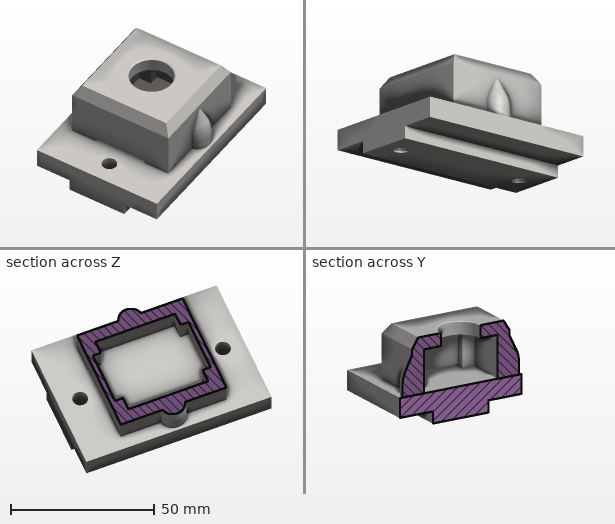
import cadquery as cq
import math

PLATE_WIDTH = 50.0
PLATE_LENGTH = 70
PLATE_THICKNESS = 7.5
RAIL_WIDTH = 22.8
RAIL_HEIGHT = 4.5
MOUNT_HOLE_DIAMETER = 5.5
MOUNT_HOLE_SPACING = 54.0

CAP_SIDE = 40.05
CAP_HEIGHT = 21
CAP_BEVEL_INSET = 2.5
CAP_BEVEL_HEIGHT = 4.0
ROOF_THICKNESS = 5.0
WINDOW_DIAMETER = 16.0
WINDOW_CHAMFER_INSET = 0.5
WINDOW_CHAMFER_DEPTH = 0.2

CAVITY_SIDE = 29.95
RECESS_DEPTH = 3.0
CAVITY_HEIGHT = CAP_HEIGHT - ROOF_THICKNESS
SLOT_WIDTH = 20.0
SLOT_HEIGHT = 1.0

BOSS_DIAMETER = 10.0
BOSS_RADIUS = BOSS_DIAMETER / 2
BOSS_SHOULDER_HEIGHT = 7
BOSS_CONE_HEIGHT = 10.0
BOSS_BLEND_RADIUS = 10.0
BOSS_SINK = 1.05
BOSS_OFFSET = CAP_SIDE / 2 - BOSS_SINK


def make_base():
    plate = cq.Workplane("XY").rect(PLATE_WIDTH, PLATE_LENGTH).extrude(-PLATE_THICKNESS)
    rail = (
        cq.Workplane("XY", origin=(0, 0, -PLATE_THICKNESS))
        .rect(RAIL_WIDTH, PLATE_LENGTH)
        .extrude(-RAIL_HEIGHT)
    )
    mount_holes = (
        cq.Workplane("XY")
        .rarray(0.7, MOUNT_HOLE_SPACING, 1, 2)
        .circle(MOUNT_HOLE_DIAMETER / 2)
        .extrude(-(PLATE_THICKNESS + RAIL_HEIGHT))
    )
    return plate.union(rail).cut(mount_holes)


def make_boss(x):
    """Cylinder with a conical nose; an arc tangent to both replaces the shoulder corner."""
    half_angle = math.atan2(BOSS_RADIUS, BOSS_CONE_HEIGHT)
    tangent_length = BOSS_BLEND_RADIUS * math.tan(half_angle / 2)
    arc_center_r = BOSS_RADIUS - BOSS_BLEND_RADIUS
    arc_start_z = BOSS_SHOULDER_HEIGHT - tangent_length

    def arc_point(angle):
        return (
            arc_center_r + BOSS_BLEND_RADIUS * math.cos(angle),
            arc_start_z + BOSS_BLEND_RADIUS * math.sin(angle),
        )

    return (
        cq.Workplane("XZ")
        .lineTo(BOSS_RADIUS, 0)
        .lineTo(BOSS_RADIUS, arc_start_z)
        .threePointArc(arc_point(half_angle / 2), arc_point(half_angle))
        .lineTo(0, BOSS_SHOULDER_HEIGHT + BOSS_CONE_HEIGHT)
        .close()
        .revolve(360, (0, 0, 0), (0, 1, 0))
        .translate((x, 0, 0))
    )


def make_cap_block():
    wall_height = CAP_HEIGHT - CAP_BEVEL_HEIGHT
    top_side = CAP_SIDE - 2 * CAP_BEVEL_INSET
    walls = cq.Workplane("XY").rect(CAP_SIDE, CAP_SIDE).extrude(wall_height)
    bevelled_top = (
        cq.Workplane("XY", origin=(0, 0, wall_height))
        .rect(CAP_SIDE, CAP_SIDE)
        .workplane(offset=CAP_BEVEL_HEIGHT)
        .rect(top_side, top_side)
        .loft(ruled=True)
    )
    return walls.union(bevelled_top)


def make_cavity():
    square = cq.Workplane("XY").rect(CAVITY_SIDE, CAVITY_SIDE).extrude(CAVITY_HEIGHT)
    recesses = (
        cq.Workplane("XY").rect(SLOT_WIDTH, CAVITY_SIDE + 2 * RECESS_DEPTH).extrude(CAVITY_HEIGHT)
    )
    slot = cq.Workplane("XY").rect(SLOT_WIDTH, CAP_SIDE).extrude(SLOT_HEIGHT)
    return square.union(recesses).union(slot)


def make_window():
    radius = WINDOW_DIAMETER / 2
    return (
        cq.Workplane("XZ")
        .moveTo(0, CAVITY_HEIGHT)
        .lineTo(radius, CAVITY_HEIGHT)
        .lineTo(radius, CAP_HEIGHT - WINDOW_CHAMFER_DEPTH)
        .lineTo(radius + WINDOW_CHAMFER_INSET, CAP_HEIGHT)
        .lineTo(0, CAP_HEIGHT)
        .close()
        .revolve(360, (0, 0, 0), (0, 1, 0))
    )


def make_cap():
    cap = make_cap_block()
    for x in (-BOSS_OFFSET, BOSS_OFFSET):
        cap = cap.union(make_boss(x))
    return cap.cut(make_cavity()).cut(make_window())


base = make_base()
cap = make_cap()
result = cq.Compound.makeCompound([base.val(), cap.val()])